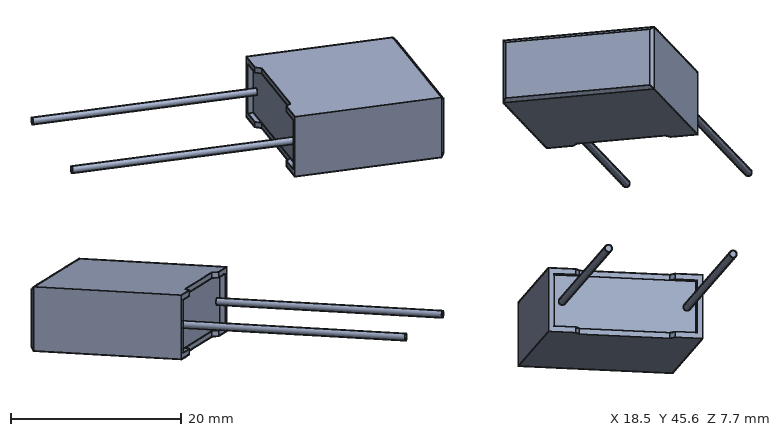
import cadquery as cq

total_length = 45.6
case_width = 18.5
case_height = 7.7
case_length = 18.55
wall = 0.7
back_chamfer = 0.4

relief_depth = 0.7
relief_floor_width = 10.85
relief_ramp = 0.55

lead_diameter = 0.85
lead_pitch = 14.95

back_y = total_length / 2
rim_y = back_y - case_length
fill_y = rim_y + relief_depth
lead_tip_y = -total_length / 2


def block_along_y(width, height, start_y, end_y):
    """Rectangular block centred on the Y axis between two stations."""
    return (
        cq.Workplane("XY")
        .box(width, end_y - start_y, height)
        .translate((0, (start_y + end_y) / 2, 0))
    )


def make_cavity(front_y):
    """Space inside the case walls, from front_y to the closed end."""
    return block_along_y(case_width - 2 * wall, case_height - 2 * wall, front_y, back_y - wall)


def make_rim_relief():
    """Trapezoidal cutter that opens toward the rim and spans both broad walls."""
    half_floor = relief_floor_width / 2
    half_mouth = half_floor + relief_ramp
    return (
        cq.Workplane("XY")
        .polyline([
            (-half_mouth, rim_y),
            (-half_floor, fill_y),
            (half_floor, fill_y),
            (half_mouth, rim_y),
        ])
        .close()
        .extrude(case_height, both=True)
    )


def make_case():
    """Open box with a chamfered closed end and a relieved rim."""
    outer = block_along_y(case_width, case_height, rim_y, back_y)
    outer = outer.faces(">Y").chamfer(back_chamfer)
    return outer.cut(make_cavity(rim_y)).cut(make_rim_relief())


def make_fill():
    """Potting block that fills the case up to the floor of the rim relief."""
    return make_cavity(fill_y)


def make_lead(x):
    """Straight round wire standing on the face of the potting block."""
    return (
        cq.Workplane("XZ", origin=(x, fill_y, 0))
        .circle(lead_diameter / 2)
        .extrude(fill_y - lead_tip_y)
    )


case = make_case()
fill = make_fill()
leads = []
for side in (-1, 1):
    leads.append(make_lead(side * lead_pitch / 2).val())

result = cq.Compound.makeCompound([case.val(), fill.val(), *leads])